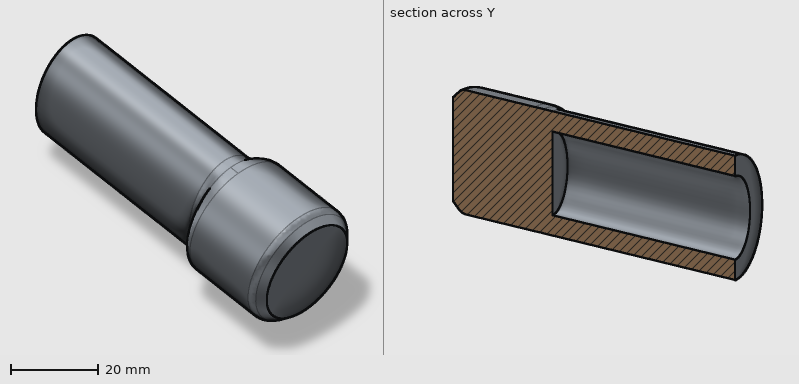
import cadquery as cq
import math

total_length = 78.75
head_radius = 30.5 / 2

handle_half_width = 21.6 / 2
handle_end = 50.9

socket_width = 11.7
socket_height = 20.3
socket_depth = handle_end

blend_radius = 2.5
sections_per_arc = 6
nose_chamfer = 2.5

shoulder_rise = head_radius - handle_half_width
shoulder_angle = math.acos(1 - shoulder_rise / (2 * blend_radius))
shoulder_length = 2 * blend_radius * math.sin(shoulder_angle)
head_start = handle_end + shoulder_length


def ellipse_section(x, half_width, half_height):
    """Ellipse in the YZ plane at the given X."""
    return cq.Workplane("YZ", origin=(x, 0, 0)).ellipse(half_width, half_height)


def loft_sections(sections):
    """Smooth solid through (x, half width) ellipses that all touch the head circle."""
    wires = [ellipse_section(x, width, head_radius).wires().val() for x, width in sections]
    return cq.Workplane(cq.Solid.makeLoft(wires))


def make_shoulder():
    """Concave arc off the handle, then a convex arc onto the head."""
    concave = []
    convex = []
    for step in range(sections_per_arc + 1):
        angle = shoulder_angle * step / sections_per_arc
        run = blend_radius * math.sin(angle)
        rise = blend_radius * (1 - math.cos(angle))
        concave.append((handle_end + run, handle_half_width + rise))
        convex.insert(0, (head_start - run, head_radius - rise))
    return loft_sections(concave).union(loft_sections(convex))


def make_head():
    """Round head whose chamfered nose blends smoothly into the side."""
    head = cq.Workplane("YZ", origin=(head_start, 0, 0)).circle(head_radius)
    head = head.extrude(total_length - head_start)
    head = head.faces(">X").chamfer(nose_chamfer)
    return head.faces("%CYLINDER").edges(">X").fillet(blend_radius)


handle = ellipse_section(0, handle_half_width, head_radius).extrude(handle_end)
socket = ellipse_section(0, socket_width / 2, socket_height / 2).extrude(socket_depth)

result = handle.union(make_shoulder()).union(make_head()).cut(socket)